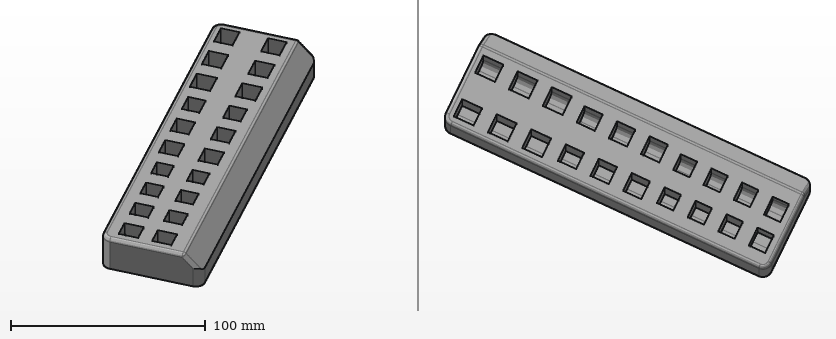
import cadquery as cq
import math

length = 185.0
width = 55.0
height = 20.0
corner_radius = 5.0
edge_radius = 2.0
slope_size = 10.0
right = width / 2
left = -right

row_gap = 8.1
first_row_start = -87.3
pair_center_x = -5.0
first_row_depth = 10.5
other_row_depth = 15.0
floor_radius = 5.0
first_inner_gap = 7.5
inner_gap_step = 0.87
row_groups = [
    (4, 9.2, 28.5),
    (3, 10.4, 31.8),
    (3, 11.3, 35.5),
]


def block():
    """Block with a sloped +X top edge, rounded around its top and at its corners."""
    body = (
        cq.Workplane("XZ", origin=(0, length / 2, 0))
        .moveTo(left, 0)
        .lineTo(right, 0)
        .lineTo(right, height - slope_size)
        .lineTo(right - slope_size, height)
        .lineTo(left, height)
        .close()
        .extrude(length)
    )
    body = body.edges("|Z and <X").fillet(corner_radius)

    top_border = body.faces(">Z").edges()
    slope_ends = body.faces("<Y or >Y").edges(cq.DirectionMinMaxSelector(cq.Vector(1, 0, 1), True))
    rounded_edges = top_border.add(slope_ends)
    body = rounded_edges.fillet(edge_radius)

    plan = (
        cq.Workplane("XY")
        .rect(width, length)
        .extrude(height)
        .edges("|Z and >X")
        .fillet(corner_radius)
    )
    return body.intersect(plan)


def pocket(outer_x, inner_x, start_y, pocket_length, depth):
    """Pocket whose flat floor curves up into its outer wall."""
    toward_inner = math.copysign(1, inner_x - outer_x)
    floor_z = height - depth
    return (
        cq.Workplane("XZ", origin=(0, start_y, 0))
        .moveTo(inner_x, height)
        .lineTo(inner_x, floor_z)
        .lineTo(outer_x + toward_inner * floor_radius, floor_z)
        .radiusArc((outer_x, floor_z + floor_radius), toward_inner * floor_radius)
        .lineTo(outer_x, height)
        .close()
        .extrude(-pocket_length)
    )


result = block()
row_start = first_row_start
inner_gap = first_inner_gap
depth = first_row_depth
for row_count, pocket_length, outer_span in row_groups:
    for _ in range(row_count):
        for side in (-1, 1):
            outer_x = pair_center_x + side * outer_span / 2
            inner_x = pair_center_x + side * inner_gap / 2
            result = result.cut(pocket(outer_x, inner_x, row_start, pocket_length, depth))
        row_start += pocket_length + row_gap
        inner_gap += inner_gap_step
        depth = other_row_depth